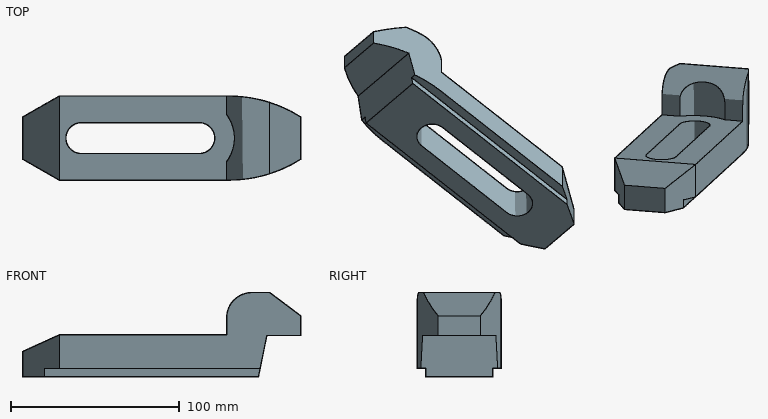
import cadquery as cq
import math

length = 165.0
width = 50.0
height = 50.0
body_height = 24.9

nose_width = 25.0
nose_height = 15.0
nose_length = 21.8

head_x = 121.0
head_radius = 15.0
head_flat_end_x = 146.5
tip_width = 25.0
tip_top_z = 36.1
tip_bottom_z = 24.5
heel_top_x = 144.9
heel_bottom_x = 140.0
side_arc_radius = 80.0

rail_width = 40.0
rail_height = 5.0

slot_start_x = 25.7
slot_end_x = 113.8
slot_width = 18.2
clearance_center_x = 102.3
clearance_radius = 23.3


def side_profile():
    """Extrude the XZ outline across the full width."""
    diagonal_offset = head_radius * (1 - math.sqrt(0.5))
    return (
        cq.Workplane("XZ")
        .moveTo(0, 0)
        .lineTo(0, nose_height)
        .lineTo(nose_length, body_height)
        .lineTo(head_x, body_height)
        .lineTo(head_x, height - head_radius)
        .threePointArc(
            (head_x + diagonal_offset, height - diagonal_offset),
            (head_x + head_radius, height),
        )
        .lineTo(head_flat_end_x, height)
        .lineTo(length, tip_top_z)
        .lineTo(length, tip_bottom_z)
        .lineTo(heel_top_x, tip_bottom_z)
        .lineTo(heel_bottom_x, 0)
        .close()
        .extrude(width / 2, both=True)
    )


def plan_envelope():
    """Extrude the XY outline; the side arcs are tangent to the straight sides."""
    half_width = width / 2
    half_nose = nose_width / 2
    half_tip = tip_width / 2
    side_drop = half_width - half_tip
    arc_run = math.sqrt(side_arc_radius**2 - (side_arc_radius - side_drop) ** 2)
    arc_start_x = length - arc_run
    mid_angle = math.asin(arc_run / side_arc_radius) / 2
    mid_x = arc_start_x + side_arc_radius * math.sin(mid_angle)
    mid_y = half_width - side_arc_radius * (1 - math.cos(mid_angle))
    return (
        cq.Workplane("XY")
        .moveTo(0, -half_nose)
        .lineTo(nose_length, -half_width)
        .lineTo(arc_start_x, -half_width)
        .threePointArc((mid_x, -mid_y), (length, -half_tip))
        .lineTo(length, half_tip)
        .threePointArc((mid_x, mid_y), (arc_start_x, half_width))
        .lineTo(nose_length, half_width)
        .lineTo(0, half_nose)
        .close()
        .extrude(height)
    )


def edge_rebate(side):
    """Long step along one lower edge; side is -1 or 1 along Y."""
    rebate_width = (width - rail_width) / 2
    center_y = side * (rail_width + rebate_width) / 2
    return (
        cq.Workplane("XY")
        .center(length / 2, center_y)
        .rect(length, rebate_width)
        .extrude(rail_height)
    )


def through_slot():
    return (
        cq.Workplane("XY")
        .center((slot_start_x + slot_end_x) / 2, 0)
        .slot2D(slot_end_x - slot_start_x, slot_width)
        .extrude(height)
    )


def washer_clearance():
    """Vertical cylinder above the body's top face, scooping the head."""
    return (
        cq.Workplane("XY")
        .workplane(offset=body_height)
        .center(clearance_center_x, 0)
        .circle(clearance_radius)
        .extrude(height - body_height)
    )


result = side_profile().intersect(plan_envelope())
for side in (-1, 1):
    result = result.cut(edge_rebate(side))
result = result.cut(through_slot()).cut(washer_clearance())